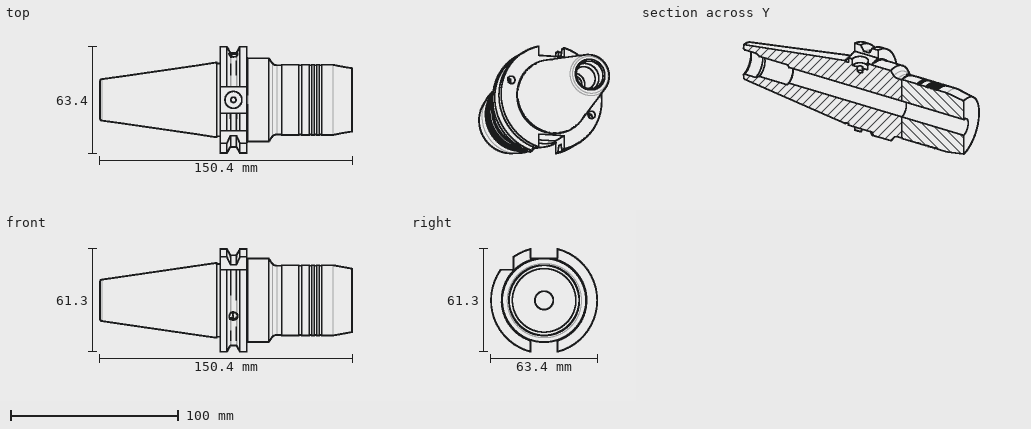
import cadquery as cq
import math

OVERALL_LENGTH = 150.4

TAPER_SLOPE = 7 / 48
TAPER_LARGE_RADIUS = 22.4
TAPER_LENGTH = 69.5
TAPER_END_ROUND = 1.0
UNDERCUT_RADIUS = 21.8

FLANGE_RADIUS = 31.7
FLANGE_X = 71.6
FLANGE_THICKNESS = 16.0
FLANGE_END_X = FLANGE_X + FLANGE_THICKNESS
GROOVE_CENTER_X = 79.5
GROOVE_FLOOR_RADIUS = 28.1
GROOVE_FLOOR_WIDTH = 3.6
GROOVE_FLANK_ANGLE = 30.0
GROOVE_FLOOR_FILLET = 0.5
FLANGE_ROOT_FILLET = 0.5

SLOT_WIDTH = 16.0
SLOT_OUTER_REACH = FLANGE_RADIUS + 1.5
TOP_SLOT_FLOOR = 25.1
BOTTOM_SLOT_FLOOR = 22.9
CORNER_NOTCH_OFFSET = 18.3

POCKET_DIAMETER = 10.1
POCKET_DEPTH = 4.5
POCKET_DRILL_DIAMETER = 3.2
POCKET_DRILL_DEPTH = 3.0
DRILL_POINT_ANGLE = 118.0

COOLANT_ANGLES = (19.6, 199.6)
COOLANT_PITCH_RADIUS = 26.8
COOLANT_AXIAL_DIAMETER = 4.5
COOLANT_RADIAL_DIAMETER = 5.0
COOLANT_RADIAL_DEPTH = 2.4

BODY_RADIUS = 25.0
BODY_END_X = 100.6
SHOULDER_ANGLE = math.radians(55)
NECK_RADIUS = 20.8
NECK_FILLET = 3.3

SLEEVE_RADIUS = 21.0
SLEEVE_X = 108.3
NOSE_CONE_X = 138.8
NOSE_END_RADIUS = 19.0
RING_GROOVE_STARTS = (118.7, 124.7, 127.7, 130.7)
RING_GROOVE_WIDTH = 1.5
RING_GROOVE_DEPTH = 0.3

BORE_MOUTH_RADIUS = 9.3
COUNTERBORE_RADIUS = 8.4
MOUTH_CHAMFER_LENGTH = 0.9
COUNTERBORE_END_X = 8.5
THREAD_BORE_RADIUS = 6.9
THREAD_BORE_X = 11.0
THREAD_BORE_END_X = 30.1
THROUGH_RADIUS = 5.4


def revolve_about_x(profile):
    return profile.close().revolve(360, (0, 0, 0), (1, 0, 0))


def block(x_range, y_range, z_range):
    (x0, x1), (y0, y1), (z0, z1) = x_range, y_range, z_range
    return cq.Workplane("XY").box(x1 - x0, y1 - y0, z1 - z0, centered=False).translate((x0, y0, z0))


def drill_cone_length(radius):
    return radius / math.tan(math.radians(DRILL_POINT_ANGLE / 2))


def holder_blank():
    small_end_radius = TAPER_LARGE_RADIUS - TAPER_LENGTH * TAPER_SLOPE
    root_x = FLANGE_END_X + FLANGE_ROOT_FILLET
    root_mid = FLANGE_ROOT_FILLET * (1 - math.sqrt(0.5))
    fillet_top_radius = NECK_RADIUS + NECK_FILLET * (1 - math.cos(SHOULDER_ANGLE))
    fillet_x = BODY_END_X + (BODY_RADIUS - fillet_top_radius) / math.tan(SHOULDER_ANGLE)
    fillet_end_x = fillet_x + NECK_FILLET * math.sin(SHOULDER_ANGLE)
    fillet_mid_x = fillet_end_x - NECK_FILLET * math.sin(SHOULDER_ANGLE / 2)
    fillet_mid_radius = NECK_RADIUS + NECK_FILLET * (1 - math.cos(SHOULDER_ANGLE / 2))
    end_round_mid = TAPER_END_ROUND * (1 - math.sqrt(0.5))
    profile = (
        cq.Workplane("XZ")
        .moveTo(0, 0)
        .lineTo(0, small_end_radius - TAPER_END_ROUND)
        .threePointArc(
            (end_round_mid, small_end_radius - end_round_mid),
            (TAPER_END_ROUND, small_end_radius + TAPER_END_ROUND * TAPER_SLOPE),
        )
        .lineTo(TAPER_LENGTH, TAPER_LARGE_RADIUS)
        .lineTo(TAPER_LENGTH, UNDERCUT_RADIUS)
        .lineTo(FLANGE_X, UNDERCUT_RADIUS)
        .lineTo(FLANGE_X, FLANGE_RADIUS)
        .lineTo(FLANGE_END_X, FLANGE_RADIUS)
        .lineTo(FLANGE_END_X, BODY_RADIUS + FLANGE_ROOT_FILLET)
        .threePointArc((FLANGE_END_X + root_mid, BODY_RADIUS + root_mid), (root_x, BODY_RADIUS))
        .lineTo(BODY_END_X, BODY_RADIUS)
        .lineTo(fillet_x, fillet_top_radius)
        .threePointArc((fillet_mid_x, fillet_mid_radius), (fillet_end_x, NECK_RADIUS))
        .lineTo(SLEEVE_X, NECK_RADIUS)
        .lineTo(SLEEVE_X, 0)
    )
    return revolve_about_x(profile)


def gripper_groove():
    """V-groove ring with a flat floor and filleted floor corners."""
    floor_half = GROOVE_FLOOR_WIDTH / 2
    flank_run = (FLANGE_RADIUS - GROOVE_FLOOR_RADIUS) * math.tan(math.radians(GROOVE_FLANK_ANGLE))
    mouth_half = floor_half + flank_run
    profile = (
        cq.Workplane("XZ")
        .moveTo(GROOVE_CENTER_X - mouth_half, FLANGE_RADIUS)
        .lineTo(GROOVE_CENTER_X - floor_half, GROOVE_FLOOR_RADIUS)
        .lineTo(GROOVE_CENTER_X + floor_half, GROOVE_FLOOR_RADIUS)
        .lineTo(GROOVE_CENTER_X + mouth_half, FLANGE_RADIUS)
    )
    floor_edges = cq.selectors.RadiusNthSelector(0)
    return revolve_about_x(profile).edges(floor_edges).fillet(GROOVE_FLOOR_FILLET)


def flange_notches():
    flange_span = (FLANGE_X, FLANGE_END_X + FLANGE_ROOT_FILLET)
    slot_span = (-SLOT_WIDTH / 2, SLOT_WIDTH / 2)
    top_slot = block(flange_span, slot_span, (TOP_SLOT_FLOOR, SLOT_OUTER_REACH))
    bottom_slot = block(flange_span, slot_span, (-SLOT_OUTER_REACH, -BOTTOM_SLOT_FLOOR))
    corner_notch = block(
        flange_span,
        (-SLOT_OUTER_REACH, -CORNER_NOTCH_OFFSET),
        (CORNER_NOTCH_OFFSET, SLOT_OUTER_REACH),
    )
    return [top_slot, bottom_slot, corner_notch]


def slot_pocket():
    """Pocket sunk in the top slot floor, with a pointed drill hole below it."""
    pocket_floor = TOP_SLOT_FLOOR - POCKET_DEPTH
    drill_end = pocket_floor - POCKET_DRILL_DEPTH
    drill_radius = POCKET_DRILL_DIAMETER / 2
    return (
        cq.Workplane("XZ")
        .moveTo(0, TOP_SLOT_FLOOR)
        .lineTo(POCKET_DIAMETER / 2, TOP_SLOT_FLOOR)
        .lineTo(POCKET_DIAMETER / 2, pocket_floor)
        .lineTo(drill_radius, pocket_floor)
        .lineTo(drill_radius, drill_end)
        .lineTo(0, drill_end - drill_cone_length(drill_radius))
        .close()
        .revolve(360, (0, 0, 0), (0, 1, 0))
        .translate((GROOVE_CENTER_X, 0, 0))
    )


def coolant_hole(angle):
    """Axial hole and the short pointed radial hole it runs into, at an angle from +Y towards +Z."""
    axial = (
        cq.Workplane("YZ", origin=(FLANGE_X, 0, 0))
        .center(COOLANT_PITCH_RADIUS, 0)
        .circle(COOLANT_AXIAL_DIAMETER / 2)
        .extrude(GROOVE_CENTER_X - FLANGE_X)
    )
    drill_radius = COOLANT_RADIAL_DIAMETER / 2
    drill_end = GROOVE_FLOOR_RADIUS - COOLANT_RADIAL_DEPTH
    radial = (
        cq.Workplane("XY")
        .polyline([
            (0, drill_end - drill_cone_length(drill_radius)),
            (drill_radius, drill_end),
            (drill_radius, FLANGE_RADIUS),
            (0, FLANGE_RADIUS),
        ])
        .close()
        .revolve(360, (0, 0, 0), (0, 1, 0))
        .translate((GROOVE_CENTER_X, 0, 0))
    )
    return axial.union(radial).rotate((0, 0, 0), (1, 0, 0), angle)


def stepped_bore():
    through_x = THREAD_BORE_END_X + drill_cone_length(THREAD_BORE_RADIUS - THROUGH_RADIUS)
    profile = cq.Workplane("XZ").polyline([
        (0, 0),
        (0, BORE_MOUTH_RADIUS),
        (MOUTH_CHAMFER_LENGTH, COUNTERBORE_RADIUS),
        (COUNTERBORE_END_X, COUNTERBORE_RADIUS),
        (THREAD_BORE_X, THREAD_BORE_RADIUS),
        (THREAD_BORE_END_X, THREAD_BORE_RADIUS),
        (through_x, THROUGH_RADIUS),
        (OVERALL_LENGTH, THROUGH_RADIUS),
        (OVERALL_LENGTH, 0),
    ])
    return revolve_about_x(profile)


def make_holder():
    holder = holder_blank().cut(gripper_groove())
    for notch in flange_notches():
        holder = holder.cut(notch)
    holder = holder.cut(slot_pocket())
    for angle in COOLANT_ANGLES:
        holder = holder.cut(coolant_hole(angle))
    return holder.cut(stepped_bore())


def make_sleeve():
    groove_radius = SLEEVE_RADIUS - RING_GROOVE_DEPTH
    profile = cq.Workplane("XZ").moveTo(SLEEVE_X, 0).lineTo(SLEEVE_X, SLEEVE_RADIUS)
    for start in RING_GROOVE_STARTS:
        end = start + RING_GROOVE_WIDTH
        profile = (
            profile.lineTo(start, SLEEVE_RADIUS)
            .lineTo(start, groove_radius)
            .lineTo(end, groove_radius)
            .lineTo(end, SLEEVE_RADIUS)
        )
    profile = (
        profile.lineTo(NOSE_CONE_X, SLEEVE_RADIUS)
        .lineTo(OVERALL_LENGTH, NOSE_END_RADIUS)
        .lineTo(OVERALL_LENGTH, 0)
    )
    return revolve_about_x(profile).cut(stepped_bore())


holder = make_holder()
sleeve = make_sleeve()

result = cq.Compound.makeCompound([holder.val(), sleeve.val()])